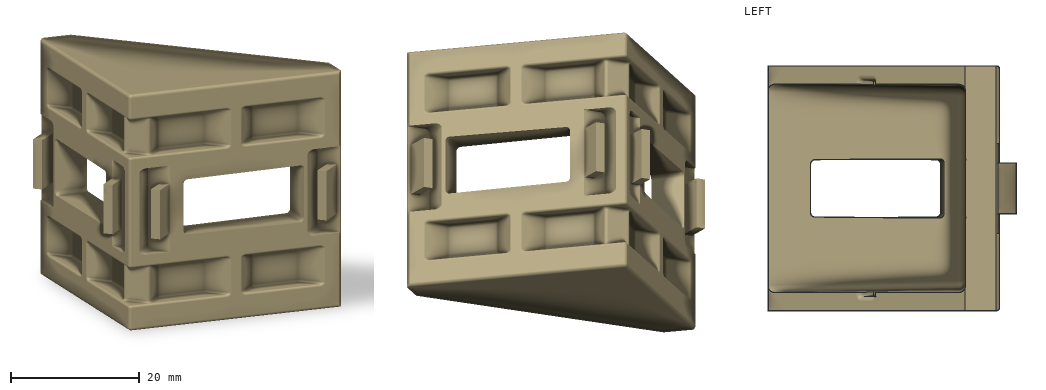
import cadquery as cq
import math


LEG = 35.95
HEIGHT = 38.0
END_WIDTH = 5.35
PLATE_THICKNESS = 5.28
EDGE_RADIUS = 0.5
END_CHAMFER = 0.58
SLANT_MIDDLE = (LEG + END_WIDTH) / 2
OUTWARD = cq.Vector(-1, 1, 0)

CAVITY_HALF_HEIGHT = 16.18
CAVITY_DRAFT = math.tan(math.radians(1.8))
CAVITY_RADIUS = 1.15

NOTCH_WIDTH = 3.05
NOTCH_DEPTH = 3.0
NOTCH_HALF_HEIGHT = 16.8
NOTCH_LIP_RADIUS = 0.77
NOTCH_CORNER_RADIUS = 0.27

SLOT_OUTER_ENDS = (9.15, 29.5)
SLOT_INNER_ENDS = (8.63, 29.35)
SLOT_WIDTH = 8.85
SLOT_WIDE_END = 9.2
SLOT_RADIUS = 0.7

POCKET_DEPTH = 3.1
POCKET_WIDTH = 6.1
POCKET_Z = 11.95
POCKET_RADIUS = 0.35
POCKET_BEND_RADIUS = 0.5
FAR_POCKET_ENDS = (18.9, 32.95)
CORNER_POCKET_END = 17.15

RIB_THICKNESS = 4.35
RIB_SETBACK = 2.85

TAB_STARTS = (6.7, 34.75)
TAB_THICKNESS = 1.5
TAB_REACH = 2.6
TAB_ROOT_DEPTH = 0.7
TAB_WIDTH = 7.95
RECESS_SPANS = ((6.9, 1.7), (35.9, 30.1))
RECESS_WIDTH = 13.95
RECESS_RADIUS = 0.85

CLEARANCE = 1.93


def prism(outline, height, z_middle=0.0):
    """Upright prism from a (u, v) outline, centred on z_middle."""
    points = [(-u, v) for u, v in outline]
    base = cq.Workplane("XY").workplane(offset=z_middle - height / 2)
    return base.polyline(points).close().extrude(height)


def on_other_plate(shape):
    """Front plate feature moved to the side plate by a half turn about the diagonal."""
    return shape.rotate((0, 0, 0), OUTWARD.toTuple(), 180)


def box_selector(corner, opposite_corner, whole_edge=False):
    return cq.selectors.BoxSelector(corner, opposite_corner, boundingbox=whole_edge)


def make_body():
    outline = [(0, 0), (LEG, 0), (LEG, END_WIDTH), (END_WIDTH, LEG), (0, LEG)]
    body = prism(outline, HEIGHT)
    outer_rim = "(>X or <Y) and (>Z or <Z)"
    corner = ">X and <Y"
    return body.edges(f"({outer_rim}) or ({corner})").fillet(EDGE_RADIUS)


def make_end_chamfer():
    """Wedge that bevels the far end of the front plate."""
    outline = [
        (LEG - END_CHAMFER - CLEARANCE, -CLEARANCE),
        (LEG + CLEARANCE, END_CHAMFER + CLEARANCE),
        (LEG + CLEARANCE, -CLEARANCE),
    ]
    return prism(outline, HEIGHT)


def cut_notches(body):
    """Notch both gussets with one slot across the slanted side and round its lip."""
    slanted_side = cq.Plane((-SLANT_MIDDLE, SLANT_MIDDLE, 0), xDir=(-1, -1, 0), normal=OUTWARD)
    slot = cq.Workplane(slanted_side).rect(NOTCH_WIDTH, 2 * NOTCH_HALF_HEIGHT).extrude(-NOTCH_DEPTH)
    slot = slot.edges(cq.selectors.ParallelDirSelector(OUTWARD)).fillet(NOTCH_CORNER_RADIUS)
    notched = body.cut(slot)
    lip = notched.faces(cq.selectors.DirectionMinMaxSelector(OUTWARD)).val().innerWires()[0]
    return notched.newObject(lip.Edges()).fillet(NOTCH_LIP_RADIUS)


def make_cavity():
    floor = PLATE_THICKNESS
    reach = 2 * LEG
    corner = prism([(floor, floor), (reach, floor), (floor, reach)], HEIGHT)

    depth = SLANT_MIDDLE * math.sqrt(2)
    wide = CAVITY_HALF_HEIGHT + CLEARANCE * CAVITY_DRAFT
    narrow = CAVITY_HALF_HEIGHT - depth * CAVITY_DRAFT
    section = [(CLEARANCE, -wide), (CLEARANCE, wide), (-depth, narrow), (-depth, -narrow)]
    across = cq.Plane((-SLANT_MIDDLE, SLANT_MIDDLE, 0), xDir=OUTWARD, normal=(-1, -1, 0))
    wedge = cq.Workplane(across).polyline(section).close().extrude(reach, both=True)

    cavity = corner.intersect(wedge)
    front_floor = cavity.faces("<Y").edges().vals()
    side_floor = cavity.faces(">X").edges().vals()
    slanted_end = cq.selectors.DirectionMinMaxSelector(OUTWARD)
    open_edges = cavity.faces(slanted_end).edges().vals()
    floor_edges = [e for e in front_floor + side_floor if not any(e.isSame(o) for o in open_edges)]
    return cavity.newObject(floor_edges).fillet(CAVITY_RADIUS)


def make_slot():
    """Slot that is wider at its far end outside and at its near end inside."""

    def opening(ends, near_width, far_width, depth):
        near, far = ends
        corners = [
            (-near, near_width / 2),
            (-far, far_width / 2),
            (-far, -far_width / 2),
            (-near, -near_width / 2),
            (-near, near_width / 2),
        ]
        sketch = cq.Sketch().polygon(corners).vertices().fillet(SLOT_RADIUS)
        return sketch.moved(cq.Location(cq.Vector(0, 0, -depth)))

    outer = opening(SLOT_OUTER_ENDS, SLOT_WIDTH, SLOT_WIDE_END, 0)
    inner = opening(SLOT_INNER_ENDS, SLOT_WIDE_END, SLOT_WIDTH, PLATE_THICKNESS)
    return cq.Workplane("XZ").placeSketch(outer, inner).loft()


def round_pocket(pocket, end):
    """Round the upright bends inside the plates, then the edges of the flat side walls."""
    inside = box_selector((-end, 0, -HEIGHT), (0, end, HEIGHT))
    upright = pocket.edges("|Z").edges(inside)
    pocket = upright.fillet(POCKET_BEND_RADIUS)
    return pocket.faces("<Z or >Z").edges(inside).fillet(POCKET_RADIUS)


def make_far_pocket(z):
    near, far = FAR_POCKET_ENDS
    outline = [
        (near - CLEARANCE, -CLEARANCE),
        (near + POCKET_DEPTH, POCKET_DEPTH),
        (far - POCKET_DEPTH, POCKET_DEPTH),
        (far + CLEARANCE, -CLEARANCE),
    ]
    pocket = prism(outline, POCKET_WIDTH, z)
    return round_pocket(pocket, far)


def make_corner_pocket(z):
    """Pocket wrapping round the corner of both plates, with a diagonal rib left inside."""
    rib_offset = RIB_THICKNESS / math.sqrt(2)
    rib_end = RIB_SETBACK / math.sqrt(2)
    half_outline = [
        (CORNER_POCKET_END + CLEARANCE, -CLEARANCE),
        (CORNER_POCKET_END - POCKET_DEPTH, POCKET_DEPTH),
        (POCKET_DEPTH + rib_offset, POCKET_DEPTH),
        (rib_end + rib_offset / 2, rib_end - rib_offset / 2),
    ]
    other_half = [(v, u) for u, v in reversed(half_outline)]
    pocket = prism(half_outline + other_half + [(-CLEARANCE, -CLEARANCE)], POCKET_WIDTH, z)
    return round_pocket(pocket, CORNER_POCKET_END)


def cut_pockets(body):
    for z in (-POCKET_Z, POCKET_Z):
        far_pocket = make_far_pocket(z)
        body = body.cut(make_corner_pocket(z))
        body = body.cut(far_pocket).cut(on_other_plate(far_pocket))
    return body


def round_pocket_rims(body):
    """Round the edges where the pockets open onto the two outer faces."""
    half_width = POCKET_WIDTH / 2
    margin = 0.05
    for z in (-POCKET_Z, POCKET_Z):
        low = z - half_width - margin
        high = z + half_width + margin
        front_rim = box_selector((-LEG, -margin, low), (margin, margin, high), True)
        side_rim = box_selector((-margin, -margin, low), (margin, LEG, high), True)
        bend = EDGE_RADIUS + margin
        corner_rim = box_selector((-bend, -margin, low), (margin, bend, high), True)
        body = body.edges(front_rim + side_rim + corner_rim).fillet(POCKET_RADIUS)
    return body


def make_recess(start, end):
    """Right-angled groove: its base starts at u = start, its long wall at u = end."""
    half = (start - end) / 2
    outline = [(start, 0), (start - half, half), (end - half, -half), (end, -2 * half)]
    recess = prism(outline, RECESS_WIDTH)
    long_wall = cq.selectors.DirectionMinMaxSelector(cq.Vector(1, 1, 0))
    return recess.faces(long_wall).edges("#Z").fillet(RECESS_RADIUS)


def make_tab(start):
    """Square-ended strip whose far side crosses the plate face at u = start."""
    step = TAB_THICKNESS / math.sqrt(2)
    outline = [
        (start + TAB_ROOT_DEPTH, TAB_ROOT_DEPTH),
        (start + TAB_ROOT_DEPTH - step, TAB_ROOT_DEPTH + step),
        (start - TAB_REACH - step, step - TAB_REACH),
        (start - TAB_REACH, -TAB_REACH),
    ]
    return prism(outline, TAB_WIDTH)


body = make_body()
body = cut_notches(body)
body = body.cut(make_cavity())
for feature in (make_end_chamfer(), make_slot()):
    body = body.cut(feature).cut(on_other_plate(feature))
body = cut_pockets(body)
body = round_pocket_rims(body)
for start, end in RECESS_SPANS:
    recess = make_recess(start, end)
    body = body.cut(recess).cut(on_other_plate(recess))
for start in TAB_STARTS:
    tab = make_tab(start)
    body = body.union(tab).union(on_other_plate(tab))

result = body